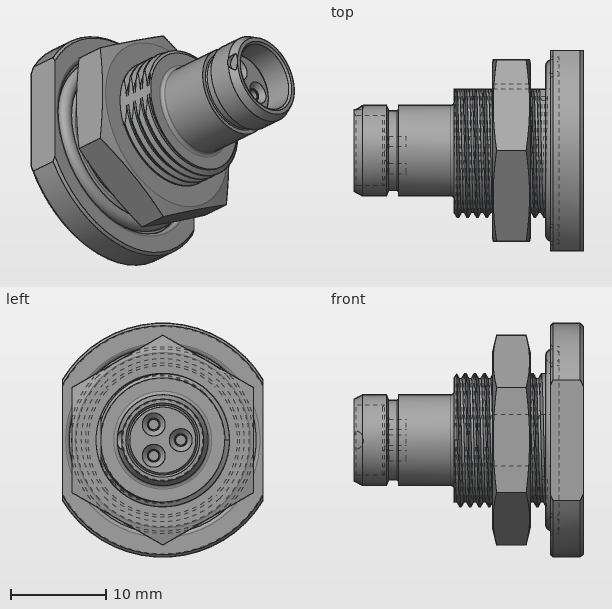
import cadquery as cq
import math


overall_length = 24.0
shoulder_x = 10.49
nut_front_x = 14.48
nut_thickness = 3.97
flange_thickness = 3.45
flange_front_x = overall_length - flange_thickness

barrel_radius = 4.75
barrel_nose_radius = 4.29
barrel_nose_length = 0.9
shoulder_fillet = 0.37
neck_radius = 4.2
neck_start_x = 3.4
neck_end_x = 4.63
neck_front_taper = 0.22
neck_rear_chamfer = 0.12

mark_radius = 1.0
mark_floor_y = 4.29

socket_radius = 3.65
socket_chamfer = 0.22
insert_front_x = 3.0
insert_chamfer = 0.2
contact_count = 3
contact_circle_radius = 1.89
contact_mouth_radius = 1.2
contact_step_radius = 0.65
contact_hole_radius = 0.55
contact_step_depth = 0.12
contact_hole_depth = 2.45

thread_radius = 6.98
thread_root_radius = 6.47
thread_pitch = 1.0
thread_root_width = 0.27
thread_overcut = 0.05
thread_flank_angle = 30.0
thread_lead_in_radius = 6.52
thread_lead_in_length = 0.3
thread_start_x = 10.4
thread_turns = 9.4
thread_flat_y = 6.45

nut_across_flats = 19.0
nut_chamfer_radius = 9.16
nut_chamfer_depth = 0.45

flange_radius = 12.25
flange_across_flats = 21.0
flange_front_chamfer = 0.27
flange_rear_chamfer = 0.35

ring_cord_radius = 0.74
ring_protrusion = 0.51
ring_centre_radius = 8.8
ring_centre_x = flange_front_x - ring_protrusion + ring_cord_radius
ring_seating = 0.05
ring_groove_floor_x = ring_centre_x + ring_cord_radius - ring_seating
ring_groove_half_width = 0.98
ring_groove_mouth_fillet = 0.4


def revolve_about_x(outline):
    """Revolve a closed outline of (x, radius) points about the X axis."""
    profile = cq.Workplane("XY").polyline(outline).close()
    return profile.revolve(360, (0, 0, 0), (1, 0, 0))


def cylinder_along_x(radius, start_x, end_x):
    return cq.Workplane("YZ", origin=(start_x, 0, 0)).circle(radius).extrude(end_x - start_x)


def make_barrel():
    fillet_start_x = shoulder_x - shoulder_fillet
    fillet_top_radius = barrel_radius + shoulder_fillet
    fillet_offset = shoulder_fillet * math.sqrt(0.5)
    fillet_middle = (fillet_start_x + fillet_offset, fillet_top_radius - fillet_offset)
    profile = (
        cq.Workplane("XY")
        .moveTo(0, 0)
        .lineTo(0, barrel_nose_radius)
        .lineTo(barrel_nose_length, barrel_radius)
        .lineTo(neck_start_x, barrel_radius)
        .lineTo(neck_start_x + neck_front_taper, neck_radius)
        .lineTo(neck_end_x - neck_rear_chamfer, neck_radius)
        .lineTo(neck_end_x, neck_radius + neck_rear_chamfer)
        .lineTo(neck_end_x, barrel_radius)
        .lineTo(fillet_start_x, barrel_radius)
        .threePointArc(fillet_middle, (shoulder_x, fillet_top_radius))
        .lineTo(shoulder_x, 0)
        .close()
    )
    barrel = profile.revolve(360, (0, 0, 0), (1, 0, 0))
    mark = (
        cq.Workplane("XZ", origin=(0, barrel_radius, 0))
        .circle(mark_radius)
        .extrude(barrel_radius - mark_floor_y)
    )
    return barrel.cut(mark)


def make_thread_groove():
    """One helical V groove, made along Z from the origin and then turned onto the X axis."""
    flank_slope = math.tan(math.radians(thread_flank_angle))
    cut_radius = thread_radius + thread_overcut
    root_half_width = thread_root_width / 2
    mouth_half_width = root_half_width + (cut_radius - thread_root_radius) * flank_slope
    path = cq.Wire.makeHelix(thread_pitch, thread_turns * thread_pitch, thread_root_radius)
    groove = (
        cq.Workplane("XZ")
        .polyline([
            (thread_root_radius, -root_half_width),
            (cut_radius, -mouth_half_width),
            (cut_radius, mouth_half_width),
            (thread_root_radius, root_half_width),
        ])
        .close()
        .sweep(path, isFrenet=True)
    )
    along_x = groove.rotate((0, 0, 0), (0, 1, 0), 90)
    starting_at_minus_y = along_x.rotate((0, 0, 0), (1, 0, 0), -90)
    return starting_at_minus_y.translate((thread_start_x, 0, 0))


def make_threaded_body():
    body = revolve_about_x([
        (shoulder_x, 0),
        (shoulder_x, thread_lead_in_radius),
        (shoulder_x + thread_lead_in_length, thread_radius),
        (ring_groove_floor_x, thread_radius),
        (ring_groove_floor_x, 0),
    ])
    return body.cut(make_thread_groove())


def make_nut():
    corner_radius = nut_across_flats / math.sqrt(3)
    nut_rear_x = nut_front_x + nut_thickness
    hexagon = (
        cq.Workplane("YZ", origin=(nut_front_x, 0, 0))
        .transformed(rotate=(0, 0, 90))
        .polygon(6, 2 * corner_radius)
        .extrude(nut_thickness)
    )
    chamfer_envelope = revolve_about_x([
        (nut_front_x, 0),
        (nut_front_x, nut_chamfer_radius),
        (nut_front_x + nut_chamfer_depth, corner_radius),
        (nut_rear_x - nut_chamfer_depth, corner_radius),
        (nut_rear_x, nut_chamfer_radius),
        (nut_rear_x, 0),
    ])
    return hexagon.intersect(chamfer_envelope)


def make_ring_groove():
    """Annular groove whose two mouth edges are rounded over onto the flange face."""
    inner_radius = ring_centre_radius - ring_groove_half_width
    outer_radius = ring_centre_radius + ring_groove_half_width
    wall_start_x = flange_front_x + ring_groove_mouth_fillet
    arc_offset = ring_groove_mouth_fillet * (1 - math.sqrt(0.5))
    profile = (
        cq.Workplane("XY")
        .moveTo(flange_front_x, inner_radius - ring_groove_mouth_fillet)
        .lineTo(flange_front_x, outer_radius + ring_groove_mouth_fillet)
        .threePointArc(
            (flange_front_x + arc_offset, outer_radius + arc_offset),
            (wall_start_x, outer_radius),
        )
        .lineTo(ring_groove_floor_x, outer_radius)
        .lineTo(ring_groove_floor_x, inner_radius)
        .lineTo(wall_start_x, inner_radius)
        .threePointArc(
            (flange_front_x + arc_offset, inner_radius - arc_offset),
            (flange_front_x, inner_radius - ring_groove_mouth_fillet),
        )
        .close()
    )
    return profile.revolve(360, (0, 0, 0), (1, 0, 0))


def make_flange():
    disc = (
        cylinder_along_x(flange_radius, flange_front_x, overall_length)
        .faces("<X").chamfer(flange_front_chamfer)
        .faces(">X").chamfer(flange_rear_chamfer)
    )
    flats = cq.Workplane("XY").box(
        2 * overall_length, flange_across_flats, 2 * flange_radius
    )
    return disc.intersect(flats).cut(make_ring_groove())


def make_sealing_ring():
    return (
        cq.Workplane("XY")
        .center(ring_centre_x, ring_centre_radius)
        .circle(ring_cord_radius)
        .revolve(360, (-ring_centre_x, -ring_centre_radius, 0),
                 (0.25 - ring_centre_x, -ring_centre_radius, 0))
    )


def make_thread_flat():
    """Segment removed from the thread and nut bore above the keying flat on the +Y side."""
    segment = cylinder_along_x(thread_radius, shoulder_x, flange_front_x)
    beyond_flat = (
        cq.Workplane("XY")
        .box(overall_length, thread_radius, 2 * thread_radius, centered=(False, False, True))
        .translate((0, thread_flat_y, 0))
    )
    return segment.intersect(beyond_flat)


def make_socket():
    return revolve_about_x([
        (0, 0),
        (0, socket_radius + socket_chamfer),
        (socket_chamfer, socket_radius),
        (insert_front_x + insert_chamfer, socket_radius),
        (insert_front_x, socket_radius - insert_chamfer),
        (insert_front_x, 0),
    ])


def make_contact_holes():
    funnel_end_x = insert_front_x + contact_mouth_radius - contact_step_radius
    step_x = funnel_end_x + contact_step_depth
    hole_end_x = insert_front_x + contact_hole_depth
    hole = revolve_about_x([
        (insert_front_x, 0),
        (insert_front_x, contact_mouth_radius),
        (funnel_end_x, contact_step_radius),
        (step_x, contact_step_radius),
        (step_x, contact_hole_radius),
        (hole_end_x, contact_hole_radius),
        (hole_end_x, 0),
    ]).translate((0, -contact_circle_radius, 0))
    holes = cq.Workplane("XY")
    for index in range(contact_count):
        holes = holes.add(hole.rotate((0, 0, 0), (1, 0, 0), index * 360 / contact_count))
    return holes.combine()


result = (
    make_threaded_body()
    .union(make_flange())
    .union(make_nut())
    .union(make_sealing_ring())
    .cut(make_thread_flat())
    .union(make_barrel())
    .cut(make_socket())
    .cut(make_contact_holes())
)